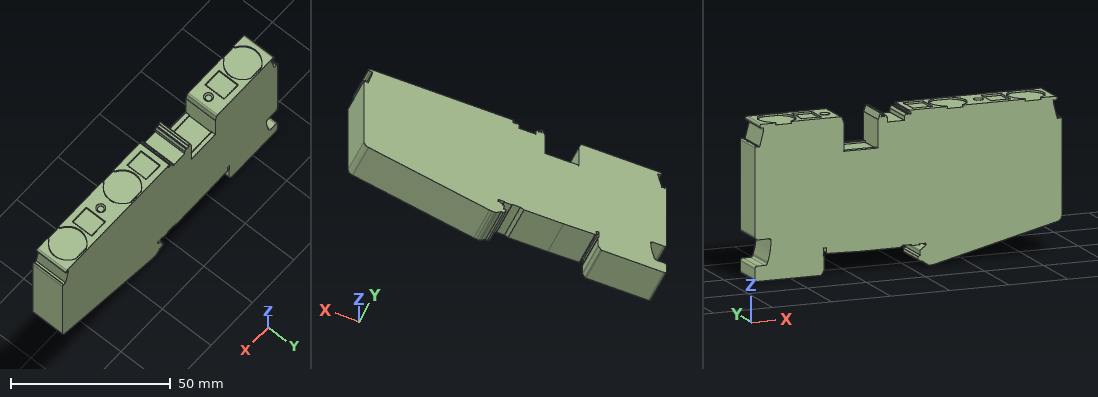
import cadquery as cq
import math

LENGTH = 104.0
WIDTH = 12.2
HEIGHT = 50.5
MID_Y = WIDTH / 2

SHELF_Z = 43.4
SHELF_BEAD_HEIGHT = 0.3
SHELF_BEAD_WIDTH = 0.6
SHELF_BEAD_RADIUS = 0.5
SHELF_WIDTH = 1.6
LIP_INSET = 1.7
LIP_RADIUS = 0.57
NECK_INSET = 2.9
NECK_BEND_Z = 48.5
LIP_THICKNESS = 1.2

CHANNEL_LEFT = 30.2
CHANNEL_RIGHT = 41.7
CHANNEL_FLOOR_Z = 39.3
CHANNEL_LEAN = 0.7
CHANNEL_LEAN_Z = 48.5
CHANNEL_RIM_RADIUS = 0.6
FLOOR_PANEL_WIDTH = 9.0
FLOOR_PANEL_DEPTH = 0.5

GROOVE_MID_X = 47.7
GROOVE_HALF_WIDTH = 2.8
GROOVE_FLOOR_Z = 47.4
GROOVE_WALL_TOP_Z = 48.8
HOOK_TIP_REACH = 4.5
HOOK_ROOT_REACH = 5.0
HOOK_TIP_Z = 50.1
HOOK_ROOT_Z = 49.9
RIDGE_OUTER_REACH = 3.8
RIDGE_INNER_REACH = 3.4
RIDGE_FOOT_Z = 49.3
RIDGE_TOP_Z = 49.6

MARK_DEPTH = 0.6
ENTRY_XS = (9.8, 67.8, 94.2)
ENTRY_DIAMETER = 12.1
ENTRY_SLOT_WIDTH = 5.3
ENTRY_EDGE_MARGIN = 0.6
WINDOW_XS = (20.0, 57.6, 84.0)
WINDOW_LENGTH = 6.7
WINDOW_WIDTH = 7.8
TEST_POINT_XS = (26.0, 78.0)
TEST_POINT_Y = 5.8
TEST_POINT_RIM_DIAMETER = 3.1
TEST_POINT_FLOOR_DIAMETER = 2.1

FOOT_LEDGE_Z = 5.0
FOOT_RADIUS = 0.8
FOOT_RIGHT = 23.5
GRIP_LEDGE_WIDTH = 4.0
GRIP_DEPTH = 5.4
GRIP_BEND_Z = 9.3
GRIP_RADIUS = 21.3
BODY_BOTTOM_Z = 13.4
RAIL_FACE_Z = 6.6
RAIL_FACE_HIGH_Z = 6.9
RAIL_PAD_Z = 7.2
RELIEF_LEFT = 23.2
RELIEF_RIGHT = 24.1
RELIEF_TOP_Z = 8.7


def rounded_outline(corners):
    """Close an XZ outline from (x, z, radius) corners; radius 0 keeps a corner sharp."""
    path = []
    for i, (x, z, radius) in enumerate(corners):
        corner = cq.Vector(x, z, 0)
        if radius == 0:
            path.append((corner, None, corner))
            continue
        before = cq.Vector(*corners[i - 1][:2], 0)
        after = cq.Vector(*corners[(i + 1) % len(corners)][:2], 0)
        to_before = (before - corner).normalized()
        to_after = (after - corner).normalized()
        half_angle = to_before.getAngle(to_after) / 2
        tangent_length = radius / math.tan(half_angle)
        bisector = (to_before + to_after).normalized()
        crown = corner + bisector * (radius / math.sin(half_angle) - radius)
        path.append((corner + to_before * tangent_length, crown, corner + to_after * tangent_length))

    outline = cq.Workplane("XZ").moveTo(*path[0][2].toTuple()[:2])
    for start, crown, end in path[1:] + path[:1]:
        outline = outline.lineTo(*start.toTuple()[:2])
        if crown is not None:
            outline = outline.threePointArc(crown.toTuple()[:2], end.toTuple()[:2])
    return outline.close()


def mirrored(corners, middle_x):
    """The same corners reflected about a vertical line, in reversed order."""
    return [(2 * middle_x - x, z, radius) for x, z, radius in reversed(corners)]


def end_wall():
    """Upper part of the left end, from the side wall up to the top face."""
    bead_top_z = SHELF_Z + SHELF_BEAD_HEIGHT
    lip_bottom_z = HEIGHT - LIP_THICKNESS
    return [
        (0, bead_top_z, SHELF_BEAD_RADIUS),
        (SHELF_BEAD_WIDTH, bead_top_z, 0),
        (SHELF_BEAD_WIDTH, SHELF_Z, 0),
        (SHELF_WIDTH, SHELF_Z, 0),
        (NECK_INSET, NECK_BEND_Z, 0),
        (NECK_INSET, lip_bottom_z, 0),
        (LIP_INSET, lip_bottom_z, LIP_RADIUS),
        (LIP_INSET, HEIGHT, LIP_RADIUS),
    ]


def channel():
    """Bridge channel, whose walls lean apart near the top."""
    return [
        (CHANNEL_LEFT - CHANNEL_LEAN, HEIGHT, CHANNEL_RIM_RADIUS),
        (CHANNEL_LEFT, CHANNEL_LEAN_Z, 0),
        (CHANNEL_LEFT, CHANNEL_FLOOR_Z, 0),
        (CHANNEL_RIGHT, CHANNEL_FLOOR_Z, 0),
        (CHANNEL_RIGHT, CHANNEL_LEAN_Z, 0),
        (CHANNEL_RIGHT + CHANNEL_LEAN, HEIGHT, 0),
    ]


def marker_groove():
    """Groove with a snap hook and a low ridge on each side."""
    hook_tip_x = GROOVE_MID_X - HOOK_TIP_REACH
    hook_root_x = GROOVE_MID_X - HOOK_ROOT_REACH
    ridge_outer_x = GROOVE_MID_X - RIDGE_OUTER_REACH
    ridge_inner_x = GROOVE_MID_X - RIDGE_INNER_REACH
    wall_x = GROOVE_MID_X - GROOVE_HALF_WIDTH
    left_side = [
        (hook_tip_x, HEIGHT, 0),
        (hook_tip_x, HOOK_TIP_Z, 0),
        (hook_root_x, HOOK_ROOT_Z, 0),
        (hook_root_x, RIDGE_FOOT_Z, 0),
        (ridge_outer_x, RIDGE_FOOT_Z, 0),
        (ridge_outer_x, RIDGE_TOP_Z, 0),
        (ridge_inner_x, RIDGE_TOP_Z, 0),
        (wall_x, GROOVE_WALL_TOP_Z, 0),
        (wall_x, GROOVE_FLOOR_Z, 0),
    ]
    return left_side + mirrored(left_side, GROOVE_MID_X)


def underside():
    """Sloping right bottom, rail latch, rail face and left foot, from right to left."""
    sloping_bottom = [
        (LENGTH, 10.5, 2.1),
        (60.3, 0, 4.2),
    ]
    rail_latch = [
        (58.7, 0, 1.0),
        (56.8, 1.5, 0),
        (56.1, 1.5, 0),
        (55.2, 2.1, 0),
        (55.2, 3.1, 0),
        (56.0, 3.5, 0),
        (55.7, 5.0, 0.3),
        (57.8, 6.6, 0),
        (57.8, RAIL_PAD_Z, 0),
    ]
    rail_face = [
        (55.7, RAIL_PAD_Z, 0),
        (55.7, RAIL_FACE_HIGH_Z, 0),
        (53.0, RAIL_FACE_HIGH_Z, 0),
        (53.0, RAIL_PAD_Z, 0),
        (50.2, RAIL_PAD_Z, 0),
        (49.0, RAIL_FACE_Z, 0),
        (35.4, RAIL_FACE_Z, 0),
        (24.5, RAIL_FACE_HIGH_Z, 0),
        (RELIEF_RIGHT, 7.3, 0),
    ]
    foot = [
        (RELIEF_RIGHT, RELIEF_TOP_Z, 0),
        (RELIEF_LEFT, RELIEF_TOP_Z, 0),
        (RELIEF_LEFT, 6.5, 0),
        (FOOT_RIGHT, 6.0, 0),
        (FOOT_RIGHT, 1.7, 0.5),
        (22.5, 0, 0.4),
        (0, 0, FOOT_RADIUS),
        (0, FOOT_LEDGE_Z, FOOT_RADIUS),
        (GRIP_LEDGE_WIDTH, FOOT_LEDGE_Z, FOOT_RADIUS),
        (GRIP_DEPTH, GRIP_BEND_Z, GRIP_RADIUS),
        (GRIP_DEPTH, BODY_BOTTOM_Z, 0.5),
        (0, BODY_BOTTOM_Z, 0.9),
    ]
    return sloping_bottom + rail_latch + rail_face + foot


def housing():
    corners = end_wall() + channel() + marker_groove() + mirrored(end_wall(), LENGTH / 2) + underside()
    return rounded_outline(corners).extrude(-WIDTH)


def floor_panel():
    """Shallow recess along the channel floor."""
    length = CHANNEL_RIGHT - CHANNEL_LEFT
    middle_x = (CHANNEL_LEFT + CHANNEL_RIGHT) / 2
    floor = cq.Workplane("XY", origin=(middle_x, MID_Y, CHANNEL_FLOOR_Z))
    return floor.rect(length, FLOOR_PANEL_WIDTH).extrude(-FLOOR_PANEL_DEPTH)


def entry_mark(x):
    """Round recess kept clear of the back edge and open to the front through a slot."""
    clear_width = WIDTH - 2 * ENTRY_EDGE_MARGIN
    top = cq.Workplane("XY", origin=(x, MID_Y, HEIGHT))
    disc = top.circle(ENTRY_DIAMETER / 2).extrude(-MARK_DEPTH)
    strip = top.rect(ENTRY_DIAMETER, clear_width).extrude(-MARK_DEPTH)
    slot = top.center(0, -MID_Y / 2).rect(ENTRY_SLOT_WIDTH, MID_Y).extrude(-MARK_DEPTH)
    return disc.intersect(strip).union(slot)


def window(x):
    top = cq.Workplane("XY", origin=(x, MID_Y, HEIGHT))
    return top.rect(WINDOW_LENGTH, WINDOW_WIDTH).extrude(-MARK_DEPTH)


def test_point(x):
    """Conical dimple with a flat floor."""
    rim = cq.Workplane("XY", origin=(x, TEST_POINT_Y, HEIGHT)).circle(TEST_POINT_RIM_DIAMETER / 2)
    floor = rim.workplane(offset=-MARK_DEPTH).circle(TEST_POINT_FLOOR_DIAMETER / 2)
    return floor.loft(ruled=True)


result = housing().cut(floor_panel())
for entry_x in ENTRY_XS:
    result = result.cut(entry_mark(entry_x))
for window_x in WINDOW_XS:
    result = result.cut(window(window_x))
for test_point_x in TEST_POINT_XS:
    result = result.cut(test_point(test_point_x))